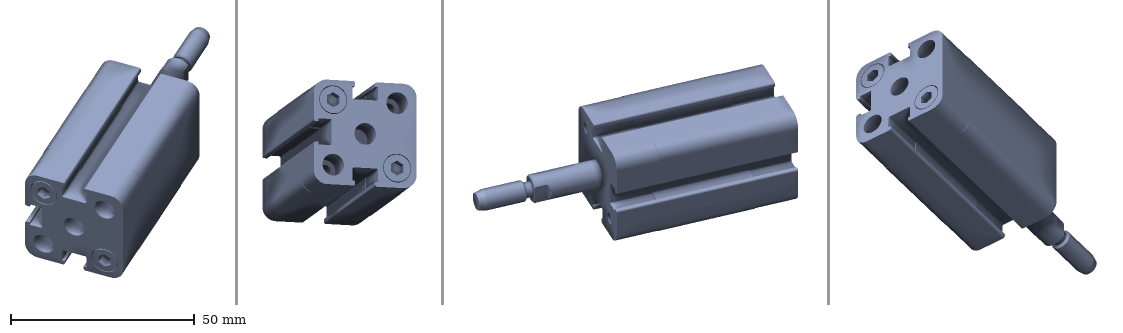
import cadquery as cq
import math

total_length = 88.5
body_size = 29.0
body_length = 53.0
cap_length = 12.4
barrel_length = body_length - 2 * cap_length
cap_corner_radius = 3.7
barrel_corner_radius = 3.45

slot_mouth_width = 5.7
cap_slot_width = 7.3
barrel_slot_width = 6.8
slot_depth = 5.05
slot_lip_thickness = 1.3
slot_lip_radius = 0.5
slot_floor_radius = 0.4
slot_angles = (0, 90, 180)

hole_offset = 9.0
through_hole_diameter = 3.3
counterbore_diameter = 6.0
counterbore_depth = 8.85
screw_recess_diameter = 8.0
screw_head_diameter = 7.5
screw_recess_depth = 4.4
hex_corner_diameter = 4.2
hex_depth = 2.65
center_hole_diameter = 6.0
center_hole_depth = 8.85

rod_diameter = 8.0
rod_chamfer = 0.35
thread_diameter = 6.0
thread_runout_chamfer = 0.4
neck_diameter = 4.4
tip_diameter = 5.0
tip_length = 2.1
thread_start = total_length - 13.9
shoulder = total_length - 15.9
flat_width = 6.0
flat_length = 3.7


def end_face_plane(y):
    """Sketch plane across the cylinder: local x is X, local y is Z, the normal is -Y."""
    return cq.Plane(origin=(0, y, 0), xDir=(1, 0, 0), normal=(0, -1, 0))


def extrude_along(sketch, length):
    """Extrude a sketch on an end face plane toward +Y, against the plane's normal."""
    return sketch.extrude(-length)


def slot_cutter(y, length, width):
    """Undercut slot, open at the top face, with rounded lips and floor corners."""
    top = body_size / 2
    floor = top - slot_depth
    lip_bottom = top - slot_lip_thickness
    half_mouth = slot_mouth_width / 2
    half_width = width / 2
    lip = slot_lip_radius
    lip_inset = lip * (1 - math.sqrt(0.5))
    corner = slot_floor_radius
    corner_inset = corner * (1 - math.sqrt(0.5))

    outline = (
        cq.Workplane(end_face_plane(y))
        .moveTo(-half_mouth - lip, top)
        .threePointArc((-half_mouth - lip_inset, top - lip_inset), (-half_mouth, top - lip))
        .lineTo(-half_mouth, lip_bottom)
        .lineTo(-half_width, lip_bottom)
        .lineTo(-half_width, floor + corner)
        .threePointArc((-half_width + corner_inset, floor + corner_inset), (-half_width + corner, floor))
        .lineTo(half_width - corner, floor)
        .threePointArc((half_width - corner_inset, floor + corner_inset), (half_width, floor + corner))
        .lineTo(half_width, lip_bottom)
        .lineTo(half_mouth, lip_bottom)
        .lineTo(half_mouth, top - lip)
        .threePointArc((half_mouth + lip_inset, top - lip_inset), (half_mouth + lip, top))
        .close()
    )
    return extrude_along(outline, length)


def body_section(y, length, corner_radius, slot):
    section = extrude_along(cq.Workplane(end_face_plane(y)).rect(body_size, body_size), length)
    section = section.edges("|Y").fillet(corner_radius)
    for angle in slot_angles:
        section = section.cut(slot.rotate((0, 0, 0), (0, 1, 0), -angle))
    return section


def end_cap(y):
    slot = slot_cutter(y, cap_length, cap_slot_width)
    return body_section(y, cap_length, cap_corner_radius, slot)


def barrel():
    slot = slot_cutter(cap_length, barrel_length, barrel_slot_width)
    return body_section(cap_length, barrel_length, barrel_corner_radius, slot)


def cylinder(points, y, diameter, length):
    return extrude_along(cq.Workplane(end_face_plane(y)).pushPoints(points).circle(diameter / 2), length)


def piston_rod():
    rod_radius = rod_diameter / 2
    thread_radius = thread_diameter / 2
    neck_radius = neck_diameter / 2
    rod = (
        cq.Workplane("XY")
        .moveTo(0, body_length)
        .lineTo(rod_radius, body_length)
        .lineTo(rod_radius, shoulder - rod_chamfer)
        .lineTo(rod_radius - rod_chamfer, shoulder)
        .lineTo(neck_radius, shoulder)
        .lineTo(neck_radius, thread_start)
        .lineTo(thread_radius - thread_runout_chamfer, thread_start)
        .lineTo(thread_radius, thread_start + thread_runout_chamfer)
        .lineTo(thread_radius, total_length - tip_length)
        .lineTo(tip_diameter / 2, total_length)
        .lineTo(0, total_length)
        .close()
        .revolve(360, (0, 0, 0), (0, 1, 0))
    )
    half_flat = flat_width / 2
    flat_end = shoulder - flat_length
    runout = rod_radius - half_flat
    flat_cutter = (
        cq.Workplane("XY")
        .moveTo(half_flat, shoulder)
        .lineTo(half_flat, flat_end)
        .lineTo(rod_radius, flat_end - runout)
        .lineTo(rod_diameter, flat_end - runout)
        .lineTo(rod_diameter, shoulder)
        .close()
        .extrude(rod_radius, both=True)
    )
    return rod.cut(flat_cutter).cut(flat_cutter.mirror("YZ"))


body = end_cap(0)
body = body.union(barrel(), clean=False)
body = body.union(end_cap(body_length - cap_length), clean=False)

mounting_points = [(-hole_offset, -hole_offset), (hole_offset, hole_offset)]
body = body.cut(cylinder(mounting_points, 0, through_hole_diameter, body_length), clean=False)
body = body.cut(cylinder(mounting_points, 0, counterbore_diameter, counterbore_depth), clean=False)

screw_points = [(-hole_offset, hole_offset), (hole_offset, -hole_offset)]
screw_gap = cylinder(screw_points, 0, screw_recess_diameter, screw_recess_depth).cut(
    cylinder(screw_points, 0, screw_head_diameter, screw_recess_depth)
)
hex_sketch = (
    cq.Workplane(end_face_plane(0))
    .transformed(rotate=(0, 0, 90))
    .pushPoints([(z, -x) for x, z in screw_points])
    .polygon(6, hex_corner_diameter)
)
body = body.cut(screw_gap, clean=False).cut(extrude_along(hex_sketch, hex_depth), clean=False)

body = body.cut(cylinder([(0, 0)], 0, center_hole_diameter, center_hole_depth), clean=False)

result = body.union(piston_rod(), clean=False)